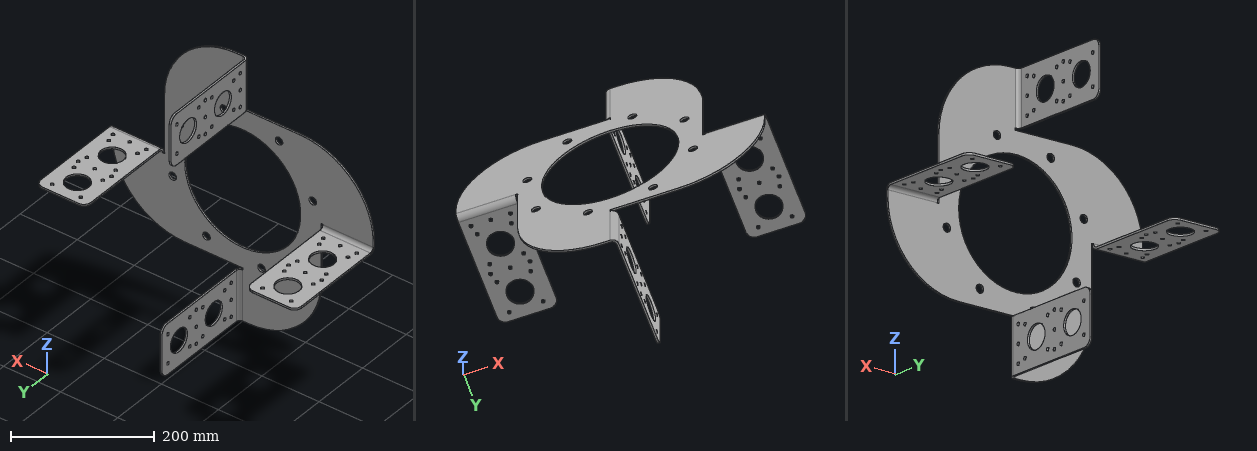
import cadquery as cq
import math

reach = 228.5
depth = 180.0
sheet = 3.4
arm_count = 4

arm_width = 137.0
arm_radius = 127.0
bore_diameter = 203.0
bolt_circle_radius = 127.0
bolt_diameter = 13.0
bolt_count = 8
bolt_start_angle = 30.0

bend_outer_radius = 9.5
bend_inner_radius = bend_outer_radius - sheet
relief_gap = 3.0
flange_bottom = arm_width + relief_gap
flange_middle = (flange_bottom + reach) / 2
flange_corner_radius = 13.0

port_count = 2
port_diameter = 39.0
port_pitch = 80.0
first_port_depth = 61.3
screw_diameter = 5.0
screw_offset = 25.0
row_offset = port_pitch / 2
row_pitch = 29.3


def turned(shape, index):
    """Turn a shape about the Y axis to the arm with the given index."""
    return shape.rotate((0, 0, 0), (0, 1, 0), index * 360 / arm_count)


def front_plane():
    """Plane of the plate's front face: local x is X, local y is Z, normal is -Y."""
    return cq.Workplane("XZ")


def make_arm():
    """Upper arm, including its quarter of the hub."""
    arc_x = arm_width - arm_radius
    arc_z = reach - arm_radius
    diagonal = arm_radius * math.sqrt(0.5)
    return (
        front_plane()
        .lineTo(0, reach)
        .lineTo(arc_x, reach)
        .threePointArc((arc_x + diagonal, arc_z + diagonal), (arm_width, arc_z))
        .lineTo(arm_width, 0)
        .close()
        .extrude(-sheet)
    )


def make_flange():
    """Bend and flange along the straight side of the upper arm."""
    outer_diagonal = bend_outer_radius * math.sqrt(0.5)
    inner_diagonal = bend_inner_radius * math.sqrt(0.5)
    outer_x = -bend_outer_radius
    inner_x = -bend_inner_radius
    bend_y = bend_outer_radius
    flange = (
        cq.Workplane("XY", origin=(0, 0, flange_bottom))
        .threePointArc((-outer_diagonal, bend_y - outer_diagonal), (outer_x, bend_y))
        .lineTo(outer_x, depth)
        .lineTo(inner_x, depth)
        .lineTo(inner_x, bend_y)
        .threePointArc((-inner_diagonal, bend_y - inner_diagonal), (0, sheet))
        .close()
        .extrude(reach - flange_bottom)
    )
    return flange.faces(">Y").edges("|X").fillet(flange_corner_radius)


def flange_holes():
    """Cutter for the ports and screw holes of the upper flange."""
    ports = []
    screws = []
    for group in range(port_count):
        port_y = first_port_depth + group * port_pitch
        ports.append((port_y, flange_middle))
        for side_y in (-1, 1):
            for side_z in (-1, 1):
                screws.append((port_y + side_y * screw_offset, flange_middle + side_z * screw_offset))
        for step in (-1, 0, 1):
            screws.append((port_y - row_offset, flange_middle + step * row_pitch))

    flange_plane = cq.Workplane("YZ", origin=(-bend_outer_radius, 0, 0))
    port_cutter = flange_plane.pushPoints(ports).circle(port_diameter / 2).extrude(sheet)
    screw_cutter = flange_plane.pushPoints(screws).circle(screw_diameter / 2).extrude(sheet)
    return port_cutter.add(screw_cutter).combine()


def plate_holes():
    """Cutter for the central bore and the bolt circle."""
    bore = front_plane().circle(bore_diameter / 2).extrude(-sheet)
    bolts = (
        front_plane()
        .polarArray(bolt_circle_radius, bolt_start_angle, 360, bolt_count)
        .circle(bolt_diameter / 2)
        .extrude(-sheet)
    )
    return bore.add(bolts).combine()


blade = make_arm().union(make_flange().cut(flange_holes()))

result = blade
for arm_index in range(1, arm_count):
    result = result.union(turned(blade, arm_index))
result = result.cut(plate_holes())